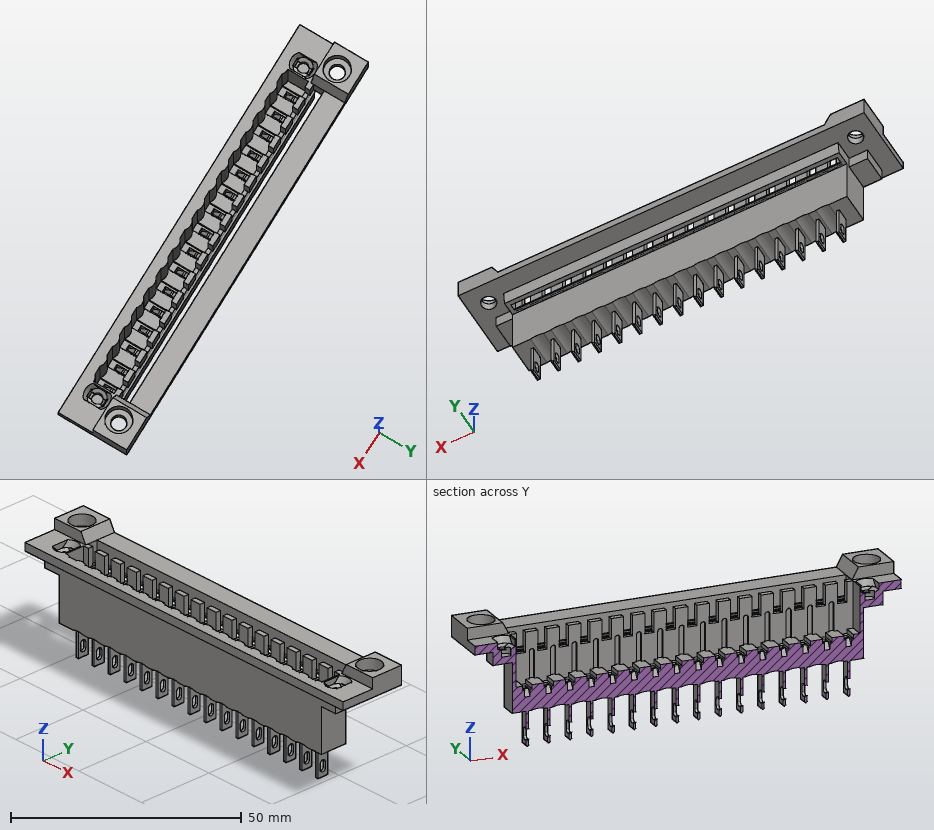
import cadquery as cq
import math


FLANGE_LENGTH = 101.2
FLANGE_WIDTH = 17.4
FLANGE_THICKNESS = 2.15
OVERALL_HEIGHT = 28.0
LUG_HEIGHT = 2.75
LUG_WIDTH = 8.6
LUG_TOP_LENGTH = 8.4
LUG_FOOT_LENGTH = 9.9
BOLT_HOLE_DIAMETER = 3.5
BOLT_HEAD_DIAMETER = 6.1
BOLT_HEAD_DEPTH = 2.9
BOLT_INSET = 4.85
BOLT_Y = 12.45

BODY_LENGTH = 83.4
BODY_FRONT = 1.83
BODY_BACK = 9.17
BODY_BOTTOM = -17.05
STEP_BOTTOM = -5.25
TAB_LENGTH = 92.6
TAB_BACK = 8.2

RAIL_BACK_TOP = 13.1
RAIL_BACK_BOTTOM = 12.65
CAVITY_LENGTH = 2 * (FLANGE_LENGTH / 2 - LUG_FOOT_LENGTH)
GAP_BACK = 12.2
LATCH_LEDGE_FRONT = 11.6
LATCH_LEDGE_TOP = -4.8
WALL_BACK = 9.5
LEDGE_BACK = 10.05
LEDGE_BACK_TOP = -4.85
LEDGE_FRONT_TOP = -5.0

CONTACT_COUNT = 16
PITCH = 5.08
SLOT_WIDTH = 2.15
SLOT_FLOOR = -4.75
CAVITY_FRONT = 2.45
CAVITY_FLOOR = -11.0
CELL_FLOOR = -12.0
SCALLOP_WIDTH = PITCH - SLOT_WIDTH
SCALLOP_HEIGHT = 0.55
WINDOW_WIDTH = 1.2
WINDOW_TOP = -4.1
WINDOW_DEPTH = 0.5
BOTTOM_WAVE_WIDTH = 3.2
BOTTOM_WAVE_HEIGHT = 0.28

PIN_THICKNESS = 0.7
PIN_WIDTH = 2.98
PIN_Y = 5.35
PIN_BOTTOM = LUG_HEIGHT - OVERALL_HEIGHT
PIN_TIP = 0.3
RIDGE_TOP = -12.1
RIDGE_CREST_FRONT = 5.7
RIDGE_CREST_BACK = 6.1
RIDGE_SHOULDER = -12.7
EYE_WIDTH = 1.5
EYE_LENGTH = 2.9
EYE_LIFT = 2.9
OPENING_WIDTH = 1.2
OPENING_FRONT = 3.9
OPENING_BACK = 7.1
OPENING_FLOOR = -15.0

KEY_INSET = 7.45
KEY_Y = 5.4
KEY_WIDTH = 4.1
KEY_END_RADIUS = 3.05
KEY_INNER_RADIUS = 2.15
KEY_WALL_DEPTH = 1.5
KEY_FUNNEL_DEPTH = 2.2
KEY_HOLE_DEPTH = 3.5
KEY_HOLE_RADIUS = 1.25
KEY_NOTCH_DEPTH = 2.7
KEY_NOTCH_WIDTH = 1.4
KEY_NOTCH_LENGTH = 3.6

CONTACT_XS = [(i - (CONTACT_COUNT - 1) / 2) * PITCH for i in range(CONTACT_COUNT)]
BETWEEN_XS = [(i - CONTACT_COUNT / 2) * PITCH for i in range(CONTACT_COUNT + 1)]


def block(length, x, y0, y1, z0, z1):
    """Box of the given length centred on x, between two Y and two Z levels."""
    return cq.Workplane("XY").box(length, y1 - y0, z1 - z0).translate((x, (y0 + y1) / 2, (z0 + z1) / 2))


def extrude_along_x(points, length):
    """Prism centred on X = 0 whose section is given as (y, z) points."""
    return cq.Workplane("YZ").polyline(points).close().extrude(length / 2, both=True)


def both_ends(shape):
    """The shape together with its mirror image across X = 0."""
    return shape.union(shape.mirror("YZ"))


def lug():
    """Left mounting lug, sloping down to the flange on its inner side."""
    end = -FLANGE_LENGTH / 2
    outline = [
        (end, 0),
        (end + LUG_FOOT_LENGTH, 0),
        (end + LUG_TOP_LENGTH, LUG_HEIGHT),
        (end, LUG_HEIGHT),
    ]
    section = cq.Workplane("XZ", origin=(0, FLANGE_WIDTH, 0)).polyline(outline).close()
    return section.extrude(LUG_WIDTH)


def bolt_hole():
    """Left counterbored bolt hole through the lug and flange."""
    x = -FLANGE_LENGTH / 2 + BOLT_INSET
    shank = cq.Workplane("XY", origin=(x, BOLT_Y, LUG_HEIGHT)).circle(BOLT_HOLE_DIAMETER / 2)
    head = cq.Workplane("XY", origin=(x, BOLT_Y, LUG_HEIGHT)).circle(BOLT_HEAD_DIAMETER / 2)
    return shank.extrude(-LUG_HEIGHT - FLANGE_THICKNESS).union(head.extrude(-BOLT_HEAD_DEPTH))


def housing():
    """Solid flange, lugs, end tabs, body and latch rail before any opening is cut."""
    flange = block(FLANGE_LENGTH, 0, 0, FLANGE_WIDTH, -FLANGE_THICKNESS, 0)
    tabs = block(TAB_LENGTH, 0, BODY_FRONT, TAB_BACK, STEP_BOTTOM, -FLANGE_THICKNESS)
    body = block(BODY_LENGTH, 0, BODY_FRONT, BODY_BACK, BODY_BOTTOM, -FLANGE_THICKNESS)
    rail_section = [
        (TAB_BACK, -FLANGE_THICKNESS),
        (RAIL_BACK_TOP, -FLANGE_THICKNESS),
        (RAIL_BACK_BOTTOM, STEP_BOTTOM),
        (TAB_BACK, STEP_BOTTOM),
    ]
    rail = extrude_along_x(rail_section, BODY_LENGTH)
    return flange.union(tabs).union(body).union(rail).union(both_ends(lug()))


def latch_gap():
    """Through gap behind the comb wall, narrowed at its lower end by a ledge on each side."""
    section = [
        (WALL_BACK, 0),
        (GAP_BACK, 0),
        (GAP_BACK, LATCH_LEDGE_TOP),
        (LATCH_LEDGE_FRONT, LATCH_LEDGE_TOP),
        (LATCH_LEDGE_FRONT, STEP_BOTTOM),
        (LEDGE_BACK, STEP_BOTTOM),
        (LEDGE_BACK, LEDGE_BACK_TOP),
        (WALL_BACK, LEDGE_FRONT_TOP),
    ]
    return extrude_along_x(section, CAVITY_LENGTH)


def scallops():
    """Rounded ribs that stand on the cavity's front wall between the contacts."""
    ribs = cq.Workplane("XY")
    for x in BETWEEN_XS:
        rib = (
            cq.Workplane("XY", origin=(x, CAVITY_FRONT, CAVITY_FLOOR))
            .moveTo(-SCALLOP_WIDTH / 2, 0)
            .threePointArc((0, SCALLOP_HEIGHT), (SCALLOP_WIDTH / 2, 0))
            .close()
            .extrude(-CAVITY_FLOOR)
        )
        ribs = ribs.add(rib)
    return ribs.combine()


def contact_cavity():
    """Plug cavity with scalloped front, comb slots in its back wall and a cell for each contact."""
    cavity = block(CAVITY_LENGTH, 0, CAVITY_FRONT, TAB_BACK, CAVITY_FLOOR, 0).cut(scallops())
    for x in CONTACT_XS:
        cavity = cavity.union(block(SLOT_WIDTH, x, TAB_BACK, BODY_BACK, SLOT_FLOOR, 0))
        cavity = cavity.union(block(SLOT_WIDTH, x, BODY_BACK, WALL_BACK, LEDGE_FRONT_TOP, 0))
        cavity = cavity.union(block(SLOT_WIDTH, x, CAVITY_FRONT, TAB_BACK, CELL_FLOOR, CAVITY_FLOOR))
        opening = block(OPENING_WIDTH, x, OPENING_FRONT, OPENING_BACK, OPENING_FLOOR, CELL_FLOOR)
        cavity = cavity.union(opening)
    return cavity


def tooth_windows():
    """Round-topped recesses low in the front face of each full comb tooth."""
    radius = WINDOW_WIDTH / 2
    windows = cq.Workplane("XY")
    for x in BETWEEN_XS[1:-1]:
        window = (
            cq.Workplane("XZ", origin=(x, TAB_BACK, 0))
            .moveTo(-radius, CAVITY_FLOOR)
            .lineTo(-radius, WINDOW_TOP - radius)
            .threePointArc((0, WINDOW_TOP), (radius, WINDOW_TOP - radius))
            .lineTo(radius, CAVITY_FLOOR)
            .close()
            .extrude(-WINDOW_DEPTH)
        )
        windows = windows.add(window)
    return windows.combine()


def bottom_waves():
    """Shallow rounded hollows across the body's underside between the pins."""
    waves = cq.Workplane("XY")
    for x in BETWEEN_XS[1:-1]:
        wave = (
            cq.Workplane("XZ", origin=(x, BODY_BACK, BODY_BOTTOM))
            .moveTo(-BOTTOM_WAVE_WIDTH / 2, 0)
            .threePointArc((0, BOTTOM_WAVE_HEIGHT), (BOTTOM_WAVE_WIDTH / 2, 0))
            .close()
            .extrude(BODY_BACK - BODY_FRONT)
        )
        waves = waves.add(wave)
    return waves.combine()


def coding_pocket():
    """Flat-sided pocket with conical ends, a funnel floor and a notched round hole."""
    x = -FLANGE_LENGTH / 2 + KEY_INSET
    top = cq.Workplane("XY", origin=(x, KEY_Y, 0))
    taper = math.degrees(math.atan((KEY_END_RADIUS - KEY_INNER_RADIUS) / KEY_WALL_DEPTH))
    cone = top.circle(KEY_END_RADIUS).extrude(-KEY_WALL_DEPTH, taper=taper)
    sides = top.rect(KEY_WIDTH, 2 * KEY_END_RADIUS).extrude(-KEY_WALL_DEPTH)
    funnel = (
        top.workplane(offset=-KEY_WALL_DEPTH)
        .rect(KEY_WIDTH, 2 * KEY_INNER_RADIUS)
        .workplane(offset=KEY_WALL_DEPTH - KEY_FUNNEL_DEPTH)
        .rect(KEY_NOTCH_WIDTH, KEY_NOTCH_LENGTH)
        .loft()
    )
    hole = top.circle(KEY_HOLE_RADIUS).extrude(-KEY_HOLE_DEPTH)
    notch = top.rect(KEY_NOTCH_WIDTH, KEY_NOTCH_LENGTH).extrude(-KEY_NOTCH_DEPTH)
    return cone.intersect(sides).union(funnel).union(hole).union(notch)


def pin():
    """Flat solder pin with a chamfered tip, an eye, and a ridge as its contact end."""
    eye_z = PIN_BOTTOM + EYE_LIFT
    front = PIN_Y - PIN_WIDTH / 2
    blade = block(PIN_THICKNESS, 0, front, front + PIN_WIDTH, PIN_BOTTOM, OPENING_FLOOR)
    blade = blade.faces("<Z").chamfer(PIN_TIP)
    eye = (
        cq.Workplane("YZ", origin=(0, PIN_Y, eye_z))
        .slot2D(EYE_LENGTH, EYE_WIDTH, angle=90)
        .extrude(PIN_THICKNESS, both=True)
    )
    ridge_section = [
        (OPENING_FRONT, OPENING_FLOOR),
        (OPENING_BACK, OPENING_FLOOR),
        (OPENING_BACK, RIDGE_SHOULDER),
        (RIDGE_CREST_BACK, RIDGE_TOP),
        (RIDGE_CREST_FRONT, RIDGE_TOP),
    ]
    return blade.cut(eye).union(extrude_along_x(ridge_section, OPENING_WIDTH))


result = (
    housing()
    .cut(both_ends(bolt_hole()))
    .cut(latch_gap())
    .cut(contact_cavity())
    .cut(tooth_windows())
    .cut(bottom_waves())
    .cut(both_ends(coding_pocket()))
)
single_pin = pin()
for contact_x in CONTACT_XS:
    result = result.union(single_pin.translate((contact_x, 0, 0)))